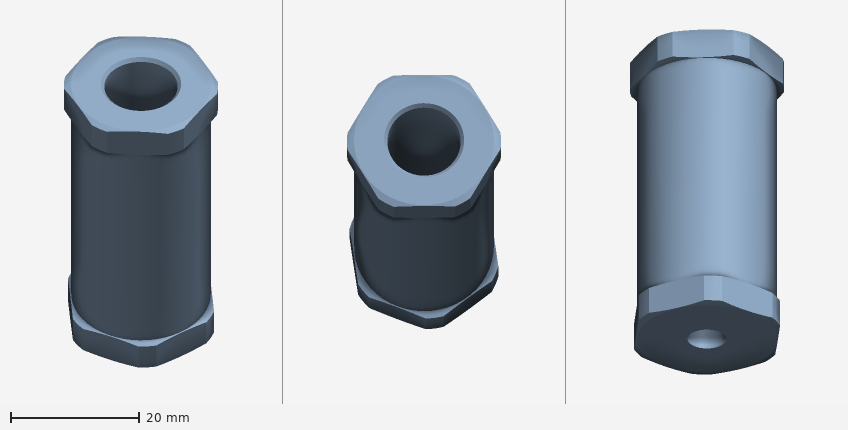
import cadquery as cq
import math

total_height = 49.0
hex_height = 5.0
hex_across_flats = 22.05
hex_corner_diameter = 24.0
hex_face_diameter = 21.8
hex_chamfer_angle = 15.0
housing_hex_turn = 22.3

barrel_diameter = 21.75
bore_diameter = 11.4
bore_chamfer = 0.55
cap_hole_diameter = 6.1


def hexagon_head(turn):
    """Hexagon standing on Z = 0, with rounded corners chamfered at both ends."""
    hex_circumscribed = hex_across_flats / math.cos(math.radians(30))
    prism = (
        cq.Workplane("XY")
        .polygon(6, hex_circumscribed)
        .extrude(hex_height)
        .rotate((0, 0, 0), (0, 0, 1), 30 + turn)
    )
    face_radius = hex_face_diameter / 2
    corner_radius = hex_corner_diameter / 2
    chamfer_height = (corner_radius - face_radius) * math.tan(math.radians(hex_chamfer_angle))
    turned_envelope = (
        cq.Workplane("XZ")
        .moveTo(0, 0)
        .lineTo(face_radius, 0)
        .lineTo(corner_radius, chamfer_height)
        .lineTo(corner_radius, hex_height - chamfer_height)
        .lineTo(face_radius, hex_height)
        .lineTo(0, hex_height)
        .close()
        .revolve(360, (0, 0, 0), (0, 1, 0))
    )
    return prism.intersect(turned_envelope)


def make_housing():
    """Round barrel with a hexagon at its top and a chamfered bore right through."""
    barrel_height = total_height - 2 * hex_height
    barrel = (
        cq.Workplane("XY", origin=(0, 0, hex_height))
        .circle(barrel_diameter / 2)
        .extrude(barrel_height)
    )
    head = hexagon_head(housing_hex_turn).translate((0, 0, hex_height + barrel_height))
    bore = (
        cq.Workplane("XY", origin=(0, 0, hex_height))
        .circle(bore_diameter / 2)
        .extrude(total_height - hex_height)
    )
    mouth_radius = bore_diameter / 2 + bore_chamfer
    mouth = (
        cq.Workplane("XY", origin=(0, 0, total_height))
        .circle(mouth_radius)
        .extrude(-bore_chamfer, taper=45)
    )
    return barrel.union(head).cut(bore).cut(mouth)


def make_cap():
    """Hexagonal cap closing the lower end of the housing, with a central through hole."""
    return hexagon_head(0).faces(">Z").workplane().hole(cap_hole_diameter)


housing = make_housing()
cap = make_cap()
result = cq.Compound.makeCompound([housing.solids().val(), cap.solids().val()])